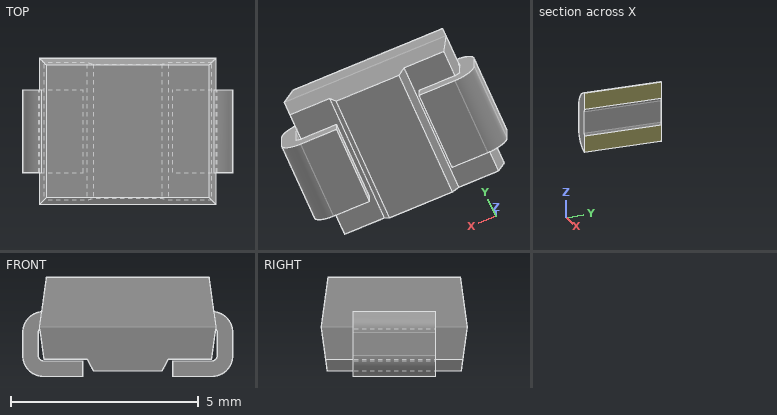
import cadquery as cq

body_length = 4.705
body_width = 3.9
top_z = 2.65
parting_z = 1.32
body_bottom_z = 0.46
pad_bottom_z = 0.145
draft_angle = 7.8

pad_root_length = 2.16
pad_tip_length = 1.825

overall_length = 5.6
lead_width = 2.205
lead_thickness = 0.42
lead_top_z = 1.735
bend_radius = 0.56
inner_bend_radius = bend_radius - lead_thickness
foot_inner_x = 1.2
lead_embed_x = 2.015


def make_drafted_half(height):
    """Half of the body, narrowing away from the parting plane; negative height goes down."""
    return (
        cq.Workplane("XY")
        .workplane(offset=parting_z)
        .rect(body_length, body_width)
        .extrude(height, taper=draft_angle)
    )


def make_body():
    """Two drafted halves meeting at the parting plane."""
    upper = make_drafted_half(top_z - parting_z)
    lower = make_drafted_half(pad_bottom_z - parting_z)
    return upper.union(lower)


def make_pad_relief(side):
    """Material removed beside the pad, on the side given by the sign of X."""
    return (
        cq.Workplane("XZ")
        .moveTo(side * pad_tip_length / 2, pad_bottom_z)
        .lineTo(side * pad_root_length / 2, body_bottom_z)
        .lineTo(side * body_length / 2, body_bottom_z)
        .lineTo(side * body_length / 2, pad_bottom_z)
        .close()
        .extrude(body_width / 2, both=True)
    )


def make_lead():
    """Lead on the +X side: upper arm, vertical leg and foot with rounded bends."""
    outer_x = overall_length / 2
    inner_x = outer_x - lead_thickness
    from_foot_end = (False, True, False)
    outer = (
        cq.Workplane("XY")
        .box(outer_x - foot_inner_x, lead_width, lead_top_z, centered=from_foot_end)
        .translate((foot_inner_x, 0, 0))
        .edges("|Y and >X")
        .fillet(bend_radius)
    )
    opening = (
        cq.Workplane("XY")
        .box(inner_x - foot_inner_x, lead_width, lead_top_z - 2 * lead_thickness, centered=from_foot_end)
        .translate((foot_inner_x, 0, lead_thickness))
        .edges("|Y and >X")
        .fillet(inner_bend_radius)
    )
    beyond_arm = (
        cq.Workplane("XY")
        .box(lead_embed_x - foot_inner_x, lead_width, lead_top_z - lead_thickness, centered=from_foot_end)
        .translate((foot_inner_x, 0, lead_thickness))
    )
    return outer.cut(opening).cut(beyond_arm)


body = make_body()
for side in (-1, 1):
    body = body.cut(make_pad_relief(side))

right_lead = make_lead()
left_lead = right_lead.mirror("YZ")
result = body.union(right_lead).union(left_lead)